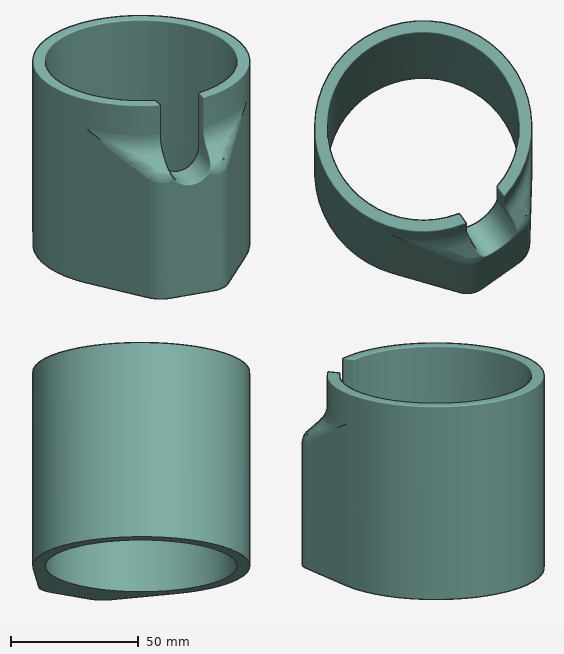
import cadquery as cq
import math

height = 79.0
outer_radius = 42.5
bore_radius = 75.0 / 2
rim_radius = 0.5

tip_x = 51.5
tangent_x = 25.9
corner_radius = 10.0

shoulder_z = 66.0
root_radius = 10.0
edge_radius = 5.0
slope_angle = math.radians(45)

slot_width = 18.05
slot_centre_z = 56.4

pick_margin = 0.1
cut_margin = 0.9

tangent_y = math.sqrt(outer_radius**2 - tangent_x**2)
tip_corner_y = (outer_radius**2 - tangent_x * tip_x) / tangent_y


def make_boss_prism():
    """Full-height wedge reaching from the sleeve axis to the boss tip."""
    return (
        cq.Workplane("XY")
        .polyline([
            (0, 0),
            (tangent_x, -tangent_y),
            (tip_x, -tip_corner_y),
            (tip_x, tip_corner_y),
            (tangent_x, tangent_y),
        ])
        .close()
        .extrude(shoulder_z)
        .edges("|Z and >X")
        .fillet(corner_radius)
    )


def make_slope_envelope():
    """Revolved body under the concave round and cone that top the boss."""
    reach = tip_x + corner_radius
    root_centre_r = outer_radius + root_radius
    arc_mid = (
        root_centre_r - root_radius * math.cos(slope_angle / 2),
        shoulder_z - root_radius * math.sin(slope_angle / 2),
    )
    arc_end = (
        root_centre_r - root_radius * math.cos(slope_angle),
        shoulder_z - root_radius * math.sin(slope_angle),
    )
    cone_end_z = arc_end[1] - (reach - arc_end[0]) * math.tan(slope_angle)
    return (
        cq.Workplane("XZ")
        .lineTo(reach, 0)
        .lineTo(reach, cone_end_z)
        .lineTo(*arc_end)
        .threePointArc(arc_mid, (outer_radius, shoulder_z))
        .lineTo(0, shoulder_z)
        .close()
        .revolve(360, (0, 0), (0, 1))
    )


def make_boss():
    """Boss with its sloping top and the rounded edge around that top."""
    boss = make_boss_prism().intersect(make_slope_envelope())
    tip_edges = cq.selectors.BoxSelector(
        (tangent_x + pick_margin, -outer_radius, cut_margin),
        (2 * tip_x, outer_radius, shoulder_z - pick_margin),
    )
    top_edges = boss.edges(tip_edges).edges("not |Z")
    return top_edges.fillet(edge_radius)


def make_slot_cutter():
    """Slot along +X with a half-round floor, open at the top."""
    radius = slot_width / 2
    return (
        cq.Workplane("YZ")
        .moveTo(-radius, height + cut_margin)
        .lineTo(-radius, slot_centre_z)
        .threePointArc((0, slot_centre_z - radius), (radius, slot_centre_z))
        .lineTo(radius, height + cut_margin)
        .close()
        .extrude(2 * tip_x)
    )


def soften_rims(body):
    """Round the top rims and every edge around the slot opening."""
    slot_region = cq.selectors.BoxSelector(
        (bore_radius / 2, -slot_width / 2 - pick_margin, slot_centre_z - slot_width),
        (2 * tip_x, slot_width / 2 + pick_margin, height + cut_margin),
    )
    slot_edges = body.edges(slot_region).edges("not |X")
    return slot_edges.add(body.faces(">Z").edges()).fillet(rim_radius)


sleeve = cq.Workplane("XY").circle(outer_radius).extrude(height)
bore = cq.Workplane("XY").circle(bore_radius).extrude(height)
sharp_body = sleeve.union(make_boss()).cut(bore).cut(make_slot_cutter())

result = soften_rims(sharp_body)